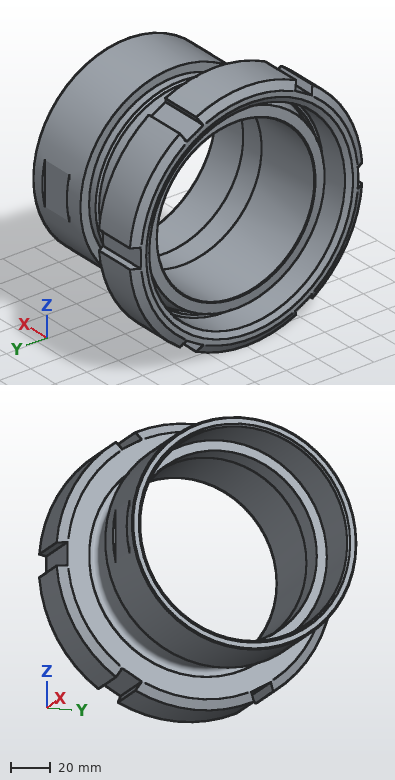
import cadquery as cq
import math

BORE_DIAMETER = 100.0
TUBE_DIAMETER = 106.5
COLLAR_DIAMETER = 121.0

NUT_DIAMETER = 148.0
NUT_LENGTH = 31.0
NUT_BEVEL_LENGTH = 2.88
NUT_BEVEL_ANGLE = 60.0
NUT_BEVEL_DEPTH = NUT_BEVEL_LENGTH * math.tan(math.radians(NUT_BEVEL_ANGLE))
NUT_END_DIAMETER = NUT_DIAMETER - 2 * NUT_BEVEL_DEPTH
NUT_THREAD_DIAMETER = 124.29
NUT_MOUTH_DIAMETER = 131.3
NUT_MOUTH_LEAD = 2.0
NUT_HOLE_DIAMETER = 115.0
THREAD_END_X = 20.0
SHOULDER_X = 25.0
SLOT_COUNT = 6
SLOT_WIDTH = 12.0
SLOT_SPACING_ANGLE = 360 / SLOT_COUNT

LINER_FRONT_X = 11.0
CONE_START_X = 11.6
LINER_END_X = 54.5
LINER_MOUTH_CHAMFER = 0.4
CONE_FRONT_DIAMETER = 113.3
HUB_END_X = 31.2
HUB_FILLET = 2.3

SOCKET_END_X = 100.0
SOCKET_DIAMETER = 120.0
SOCKET_BODY_X = 61.0
NECK_DIAMETER = 109.0
NECK_CHAMFER = (NECK_DIAMETER - TUBE_DIAMETER) / 2
SOCKET_END_CHAMFER = 0.5
THREAD_CORE_DIAMETER = 110.72
THREAD_MOUTH_DIAMETER = 113.03
THREAD_MOUTH_LEAD = (THREAD_MOUTH_DIAMETER - THREAD_CORE_DIAMETER) / 2
THREAD_BOTTOM_X = 69.5
FLAT_START_X = 72.0
FLAT_LENGTH = 20.0
FLAT_DEPTH = 1.5


def revolve_about_x(profile):
    """Turn a closed (x, radius) profile about the X axis."""
    return profile.close().revolve(360, (0, 0, 0), (1, 0, 0))


def make_nut():
    outer_radius = NUT_DIAMETER / 2
    end_radius = NUT_END_DIAMETER / 2
    profile = (
        cq.Workplane("XY")
        .moveTo(0, NUT_MOUTH_DIAMETER / 2)
        .lineTo(0, end_radius)
        .lineTo(NUT_BEVEL_LENGTH, outer_radius)
        .lineTo(NUT_LENGTH - NUT_BEVEL_LENGTH, outer_radius)
        .lineTo(NUT_LENGTH, end_radius)
        .lineTo(NUT_LENGTH, NUT_HOLE_DIAMETER / 2)
        .lineTo(SHOULDER_X, NUT_HOLE_DIAMETER / 2)
        .lineTo(SHOULDER_X, COLLAR_DIAMETER / 2)
        .lineTo(THREAD_END_X, COLLAR_DIAMETER / 2)
        .lineTo(THREAD_END_X, NUT_THREAD_DIAMETER / 2)
        .lineTo(NUT_MOUTH_LEAD, NUT_THREAD_DIAMETER / 2)
    )
    nut = revolve_about_x(profile)
    slot = cq.Workplane("XY").box(
        NUT_LENGTH, outer_radius, SLOT_WIDTH, centered=(False, False, True)
    ).translate((0, end_radius, 0))
    for index in range(SLOT_COUNT):
        nut = nut.cut(slot.rotate((0, 0, 0), (1, 0, 0), index * SLOT_SPACING_ANGLE))
    return nut


def make_liner():
    bore_radius = BORE_DIAMETER / 2
    tube_radius = TUBE_DIAMETER / 2
    hub_radius = NUT_HOLE_DIAMETER / 2
    profile = (
        cq.Workplane("XY")
        .moveTo(LINER_FRONT_X, bore_radius + LINER_MOUTH_CHAMFER)
        .lineTo(CONE_START_X, CONE_FRONT_DIAMETER / 2)
        .lineTo(SHOULDER_X, COLLAR_DIAMETER / 2)
        .lineTo(SHOULDER_X, hub_radius)
        .lineTo(HUB_END_X, hub_radius)
        .lineTo(HUB_END_X, tube_radius + HUB_FILLET)
        .radiusArc((HUB_END_X + HUB_FILLET, tube_radius), -HUB_FILLET)
        .lineTo(LINER_END_X, tube_radius)
        .lineTo(LINER_END_X, bore_radius)
        .lineTo(LINER_FRONT_X + LINER_MOUTH_CHAMFER, bore_radius)
    )
    return revolve_about_x(profile)


def make_socket():
    bore_radius = BORE_DIAMETER / 2
    outer_radius = SOCKET_DIAMETER / 2
    neck_radius = NECK_DIAMETER / 2
    thread_radius = THREAD_CORE_DIAMETER / 2
    profile = (
        cq.Workplane("XY")
        .moveTo(LINER_END_X, bore_radius)
        .lineTo(LINER_END_X, neck_radius - NECK_CHAMFER)
        .lineTo(LINER_END_X + NECK_CHAMFER, neck_radius)
        .lineTo(SOCKET_BODY_X, neck_radius)
        .lineTo(SOCKET_BODY_X, outer_radius)
        .lineTo(SOCKET_END_X - SOCKET_END_CHAMFER, outer_radius)
        .lineTo(SOCKET_END_X, outer_radius - SOCKET_END_CHAMFER)
        .lineTo(SOCKET_END_X, THREAD_MOUTH_DIAMETER / 2)
        .lineTo(SOCKET_END_X - THREAD_MOUTH_LEAD, thread_radius)
        .lineTo(THREAD_BOTTOM_X, thread_radius)
        .lineTo(THREAD_BOTTOM_X, bore_radius)
    )
    socket = revolve_about_x(profile)
    flat = cq.Workplane("XY").box(
        FLAT_LENGTH, outer_radius, SOCKET_DIAMETER, centered=(False, False, True)
    ).translate((FLAT_START_X, outer_radius - FLAT_DEPTH, 0))
    return socket.cut(flat).cut(flat.mirror("XZ"))


nut = make_nut()
liner = make_liner()
socket = make_socket()

result = cq.Compound.makeCompound([nut.solids().val(), liner.val(), socket.solids().val()])